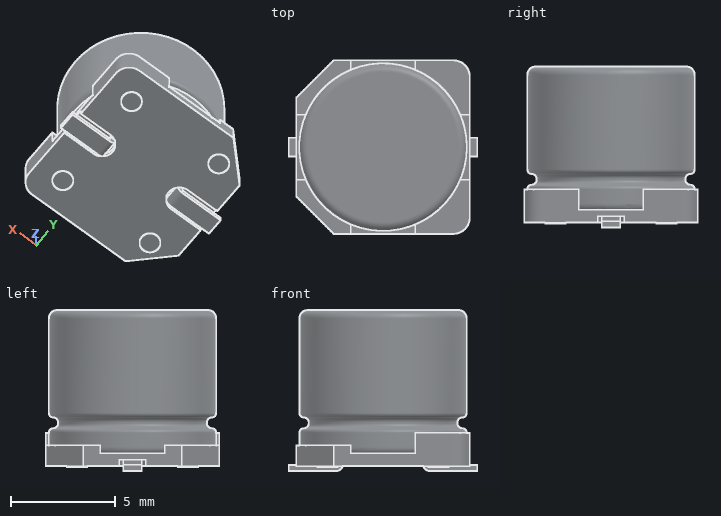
import cadquery as cq
import math

BASE_SIZE = 8.3
BASE_BOTTOM = 0.25
NOTCH_FLOOR = 0.85
NOTCH_WIDTH = 3.1
LOW_CORNER_TOP = 1.23
TALL_CORNER_TOP = 1.83
CORNER_CHAMFER = 1.8
CORNER_RADIUS = 0.8

PAD_DIAMETER = 1.0
PAD_BOTTOM = 0.2
PAD_OFFSET = 2.65

CAN_RADIUS = 4.0
CAN_TOP = 7.7
CAN_BOTTOM = 0.74
CAN_EDGE_RADIUS = 0.4
THROAT_RADIUS = 3.56
THROAT_BOTTOM = 2.28
THROAT_TOP = 2.34

LEAD_TIP = 4.5
LEAD_INNER_END = 1.9
LEAD_WIDTH = 0.9
LEAD_THICKNESS = 0.3
LEAD_INNER_BEND = 0.06
LEAD_OUTER_BEND = LEAD_THICKNESS + LEAD_INNER_BEND

SLOT_WIDTH = 1.28
SLOT_TOP = 0.55
SLOT_CLEARANCE = (SLOT_WIDTH - LEAD_WIDTH) / 2

HALF_BASE = BASE_SIZE / 2
DIAGONAL = math.sqrt(0.5)


def make_base():
    """Base plate with raised corners, chamfered at -X and rounded at +X."""
    plate = cq.Workplane("XY").workplane(offset=BASE_BOTTOM).rect(BASE_SIZE, BASE_SIZE)
    base = plate.extrude(TALL_CORNER_TOP - BASE_BOTTOM)
    base = base.edges("|Z and <X").chamfer(CORNER_CHAMFER)
    base = base.edges("|Z and >X").fillet(CORNER_RADIUS)

    notch_height = TALL_CORNER_TOP - NOTCH_FLOOR
    notches = cq.Workplane("XY").workplane(offset=NOTCH_FLOOR)
    for length, width in ((BASE_SIZE, NOTCH_WIDTH), (NOTCH_WIDTH, BASE_SIZE)):
        base = base.cut(notches.rect(length, width).extrude(notch_height))

    low_step = (
        cq.Workplane("XY")
        .workplane(offset=LOW_CORNER_TOP)
        .center(-HALF_BASE / 2, 0)
        .rect(HALF_BASE, BASE_SIZE)
        .extrude(TALL_CORNER_TOP - LOW_CORNER_TOP)
    )
    return base.cut(low_step)


def make_pads():
    """Four thin round pads under the corners of the base."""
    return (
        cq.Workplane("XY")
        .workplane(offset=PAD_BOTTOM)
        .rect(2 * PAD_OFFSET, 2 * PAD_OFFSET, forConstruction=True)
        .vertices()
        .circle(PAD_DIAMETER / 2)
        .extrude(BASE_BOTTOM - PAD_BOTTOM)
    )


def make_can():
    """Revolved can with rounded rims and a crimp groove between rounded lips."""
    bend = (CAN_RADIUS - THROAT_RADIUS) / 2
    lip_end = CAN_RADIUS - bend
    bend_diagonal = bend * DIAGONAL
    lower_lip = THROAT_BOTTOM - 2 * bend
    upper_lip = THROAT_TOP + 2 * bend
    edge_center = CAN_RADIUS - CAN_EDGE_RADIUS
    edge_diagonal = CAN_EDGE_RADIUS * DIAGONAL
    profile = (
        cq.Workplane("XZ")
        .moveTo(0, CAN_BOTTOM)
        .lineTo(edge_center, CAN_BOTTOM)
        .threePointArc(
            (edge_center + edge_diagonal, CAN_BOTTOM + CAN_EDGE_RADIUS - edge_diagonal),
            (CAN_RADIUS, CAN_BOTTOM + CAN_EDGE_RADIUS),
        )
        .lineTo(CAN_RADIUS, lower_lip)
        .threePointArc(
            (lip_end + bend_diagonal, lower_lip + bend_diagonal),
            (lip_end, THROAT_BOTTOM - bend),
        )
        .threePointArc(
            (lip_end - bend_diagonal, THROAT_BOTTOM - bend_diagonal),
            (THROAT_RADIUS, THROAT_BOTTOM),
        )
        .lineTo(THROAT_RADIUS, THROAT_TOP)
        .threePointArc(
            (lip_end - bend_diagonal, THROAT_TOP + bend_diagonal),
            (lip_end, THROAT_TOP + bend),
        )
        .threePointArc(
            (lip_end + bend_diagonal, upper_lip - bend_diagonal),
            (CAN_RADIUS, upper_lip),
        )
        .lineTo(CAN_RADIUS, CAN_TOP - CAN_EDGE_RADIUS)
        .threePointArc(
            (edge_center + edge_diagonal, CAN_TOP - CAN_EDGE_RADIUS + edge_diagonal),
            (edge_center, CAN_TOP),
        )
        .lineTo(0, CAN_TOP)
        .close()
    )
    return profile.revolve(360, (0, 0, 0), (0, 1, 0))


def make_slot():
    """Slot at the -X side, open outwards and downwards, with a half-round inner end."""
    radius = SLOT_WIDTH / 2
    inner_end = -LEAD_INNER_END + SLOT_CLEARANCE
    round_center = inner_end - radius
    return (
        cq.Workplane("XY")
        .workplane(offset=BASE_BOTTOM)
        .moveTo(-HALF_BASE, -radius)
        .lineTo(round_center, -radius)
        .threePointArc((inner_end, 0), (round_center, radius))
        .lineTo(-HALF_BASE, radius)
        .close()
        .extrude(SLOT_TOP - BASE_BOTTOM)
    )


def make_lead():
    """Lead at the -X side: flat foot bent up into a leg that enters the base."""
    leg_outer_face = -LEAD_INNER_END - LEAD_THICKNESS
    bend_center_x = leg_outer_face - LEAD_INNER_BEND
    bend_center_z = LEAD_OUTER_BEND
    inner_diagonal = LEAD_INNER_BEND * DIAGONAL
    outer_diagonal = LEAD_OUTER_BEND * DIAGONAL
    return (
        cq.Workplane("XZ")
        .moveTo(-LEAD_TIP, 0)
        .lineTo(bend_center_x, 0)
        .threePointArc(
            (bend_center_x + outer_diagonal, bend_center_z - outer_diagonal),
            (-LEAD_INNER_END, bend_center_z),
        )
        .lineTo(-LEAD_INNER_END, SLOT_TOP)
        .lineTo(leg_outer_face, SLOT_TOP)
        .lineTo(leg_outer_face, bend_center_z)
        .threePointArc(
            (bend_center_x + inner_diagonal, bend_center_z - inner_diagonal),
            (bend_center_x, LEAD_THICKNESS),
        )
        .lineTo(-LEAD_TIP, LEAD_THICKNESS)
        .close()
        .extrude(LEAD_WIDTH / 2, both=True)
    )


slot = make_slot()
lead = make_lead()
base = make_base().cut(slot).cut(slot.mirror("YZ"))
body = base.union(make_can()).union(make_pads())
result = body.union(lead).union(lead.mirror("YZ"))